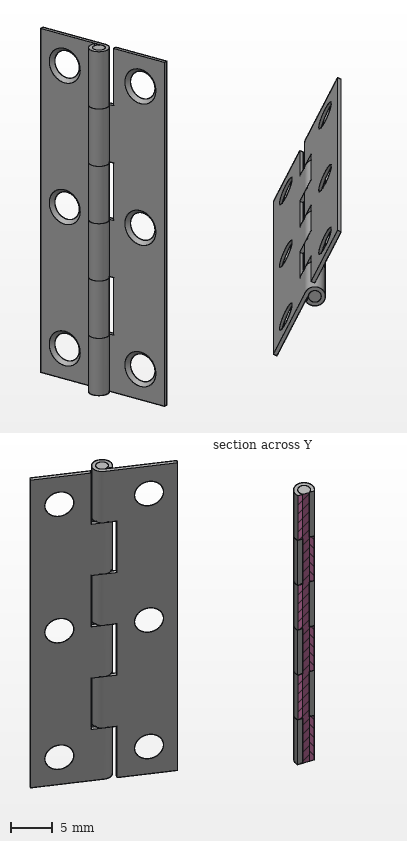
import cadquery as cq
import math

height = 45.0
width = 18.0
sheet_thickness = 0.5
pin_radius = 0.75
knuckle_radius = pin_radius + sheet_thickness
knuckle_count = 6
knuckle_height = height / knuckle_count
leaf_edge_x = 1.58
curl_gap = 0.15

hole_offset_x = 5.5
hole_pitch = 18.5
hole_front_radius = 2.25
hole_back_radius = 1.75


def make_plate():
    """Flat part of the left leaf, clear of the knuckles."""
    plate_width = width / 2 - leaf_edge_x
    plate = cq.Workplane("XY").box(plate_width, sheet_thickness, height, centered=(False, False, True))
    return plate.translate((-width / 2, pin_radius, 0))


def make_knuckle(bottom_z):
    """Strip that leaves the plate and curls around the pin."""
    end_y = pin_radius - curl_gap
    end_outer_x = -math.sqrt(knuckle_radius**2 - end_y**2)
    end_inner_x = -math.sqrt(pin_radius**2 - end_y**2)
    return (
        cq.Workplane("XY", origin=(0, 0, bottom_z))
        .moveTo(-leaf_edge_x, knuckle_radius)
        .lineTo(0, knuckle_radius)
        .threePointArc((0, -knuckle_radius), (end_outer_x, end_y))
        .lineTo(end_inner_x, end_y)
        .threePointArc((0, -pin_radius), (0, pin_radius))
        .lineTo(-leaf_edge_x, pin_radius)
        .close()
        .extrude(knuckle_height)
    )


def make_screw_hole(z):
    """Cone that narrows from the front of the sheet to its back."""
    cone = cq.Solid.makeCone(
        hole_front_radius,
        hole_back_radius,
        sheet_thickness,
        pnt=cq.Vector(-hole_offset_x, pin_radius, z),
        dir=cq.Vector(0, 1, 0),
    )
    return cq.Workplane(obj=cone)


def make_leaf():
    """Left leaf, with every other knuckle counted from the top."""
    leaf = make_plate()
    for index in range(0, knuckle_count, 2):
        top_z = height / 2 - index * knuckle_height
        leaf = leaf.union(make_knuckle(top_z - knuckle_height))
    for z in (-hole_pitch, 0, hole_pitch):
        leaf = leaf.cut(make_screw_hole(z))
    return leaf


def make_pin():
    return cq.Workplane("XY").circle(pin_radius).extrude(height / 2, both=True)


left_leaf = make_leaf()
right_leaf = make_leaf().rotate((0, 0, 0), (0, 1, 0), 180)
pin = make_pin()

result = cq.Compound.makeCompound([left_leaf.val(), right_leaf.val(), pin.val()])